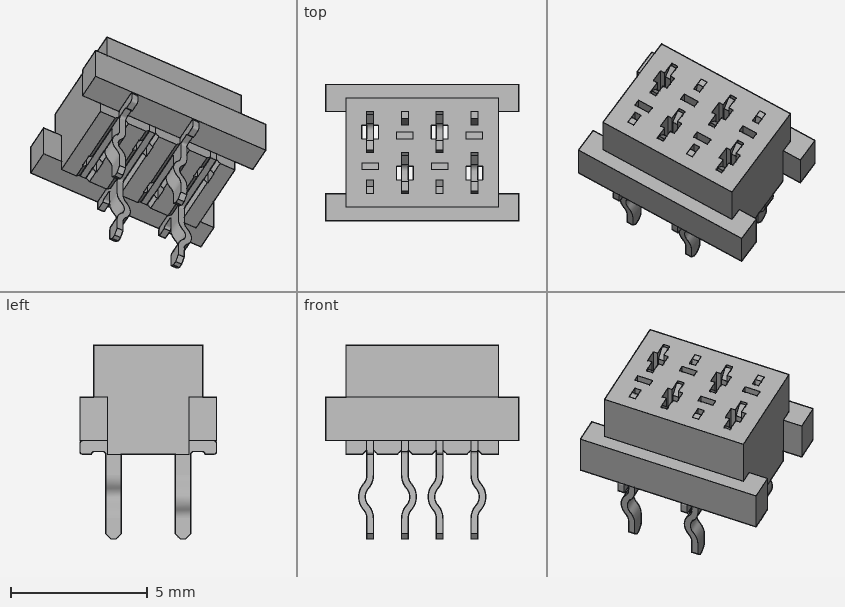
import cadquery as cq
import math

top_z = 7.1
flange_top_z = 5.2
flange_bottom_z = 3.6
body_bottom_z = 3.1

body_length = 5.595
body_depth = 4.0
lower_body_depth = 2.995
flange_length = 7.08
flange_outer_depth = 5.0

contact_count = 4
pitch = 1.27
contact_thickness = 0.25

fork_slot_length = 1.5
fork_center_y = fork_slot_length / 2
fork_tip_gap = 0.1
lead_in_width = 0.335
lead_in_angle = 47.3
throat_radius = 0.25
throat_depth = 2.485

post_outer_y = 1.5
post_width = 0.5
post_tip_width = post_width / 2
post_wedge_height = 1.02

arm_bottom_z = 3.2
corner_radius = 0.1
foot_width = 0.425

leg_width = 0.575
leg_center_y = pitch
tip_chamfer = 0.2
bend_center_z = 1.55
bend_radius = 0.595
bend_offset = 0.3

window_length = 0.595
window_depth = 0.5
pocket_width = 0.25
pocket_depth = 1.0
pocket_y_at_plus_y_contact = -0.5
pocket_y_at_minus_y_contact = 0.625
groove_chamfer = 0.15


def block(length, depth, bottom_z, upper_z, x=0.0, y=0.0):
    """Box centred on (x, y) between two heights."""
    return (
        cq.Workplane("XY")
        .workplane(offset=bottom_z)
        .center(x, y)
        .rect(length, depth)
        .extrude(upper_z - bottom_z)
    )


def make_fork_and_post():
    """Plate above the arm: a fork on the +Y side and a post on the -Y side."""
    throat_half = fork_slot_length / 2 - fork_tip_gap - lead_in_width
    throat_top_z = top_z - lead_in_width * math.tan(math.radians(lead_in_angle))
    throat_bottom_z = top_z - throat_depth
    floor_half = throat_half - throat_radius
    arc_z = throat_bottom_z + throat_radius
    fork = (
        cq.Workplane("YZ")
        .moveTo(0, flange_bottom_z)
        .lineTo(fork_tip_gap, top_z)
        .lineTo(fork_center_y - throat_half, throat_top_z)
        .lineTo(fork_center_y - throat_half, arc_z)
        .radiusArc((fork_center_y - floor_half, throat_bottom_z), -throat_radius)
        .lineTo(fork_center_y + floor_half, throat_bottom_z)
        .radiusArc((fork_center_y + throat_half, arc_z), -throat_radius)
        .lineTo(fork_center_y + throat_half, throat_top_z)
        .lineTo(fork_slot_length - fork_tip_gap, top_z)
        .lineTo(fork_slot_length, flange_bottom_z)
        .close()
        .extrude(contact_thickness / 2, both=True)
    )
    post = (
        cq.Workplane("YZ")
        .polyline([
            (-post_outer_y, flange_bottom_z),
            (-post_outer_y, top_z),
            (-post_outer_y + post_tip_width, top_z),
            (-post_outer_y + post_width, top_z - post_wedge_height),
            (-post_outer_y + post_width, flange_bottom_z),
        ])
        .close()
        .extrude(contact_thickness / 2, both=True)
    )
    return fork, post


def make_arm():
    """Bar under the housing, from a rounded foot at -Y past the leg to the end of the fork."""
    foot_outer_y = -flange_outer_depth / 2
    foot_inner_y = foot_outer_y + foot_width
    leg_outer_y = -leg_center_y - leg_width / 2
    leg_inner_y = leg_outer_y + leg_width
    fillet_bottom_z = arm_bottom_z - corner_radius
    return (
        cq.Workplane("YZ")
        .moveTo(leg_outer_y, fillet_bottom_z)
        .radiusArc((leg_outer_y - corner_radius, arm_bottom_z), -corner_radius)
        .lineTo(foot_inner_y + corner_radius, arm_bottom_z)
        .radiusArc((foot_inner_y, body_bottom_z), -corner_radius)
        .lineTo(foot_outer_y + corner_radius, body_bottom_z)
        .radiusArc((foot_outer_y, body_bottom_z + corner_radius), corner_radius)
        .lineTo(foot_outer_y, flange_bottom_z - corner_radius)
        .radiusArc((foot_outer_y + corner_radius, flange_bottom_z), corner_radius)
        .lineTo(fork_slot_length, flange_bottom_z)
        .lineTo(fork_slot_length, arm_bottom_z)
        .lineTo(leg_inner_y + corner_radius, arm_bottom_z)
        .radiusArc((leg_inner_y, fillet_bottom_z), -corner_radius)
        .close()
        .extrude(contact_thickness / 2, both=True)
    )


def make_leg():
    """Strip bent towards -X by equal tangent arcs, cut to a chamfered tip."""
    bend_angle = math.acos(1 - bend_offset / (2 * bend_radius))
    half_height = 2 * bend_radius * math.sin(bend_angle)
    center_line = (
        cq.Workplane("XZ")
        .moveTo(0, arm_bottom_z)
        .lineTo(0, bend_center_z + half_height)
        .radiusArc((-bend_offset / 2, bend_center_z + half_height / 2), bend_radius)
        .radiusArc((-bend_offset / 2, bend_center_z - half_height / 2), -bend_radius)
        .radiusArc((0, bend_center_z - half_height), bend_radius)
        .lineTo(0, 0)
    )
    strip = (
        cq.Workplane("XY")
        .workplane(offset=arm_bottom_z)
        .rect(contact_thickness, leg_width)
        .sweep(center_line)
        .translate((0, -leg_center_y, 0))
    )
    silhouette = (
        block(pitch, leg_width, 0, arm_bottom_z, y=-leg_center_y)
        .faces("<Z")
        .edges("|X")
        .chamfer(tip_chamfer)
    )
    return strip.intersect(silhouette)


def make_contact():
    """Contact at x = 0 with its fork towards +Y and its leg on the -Y side."""
    fork, post = make_fork_and_post()
    return make_arm().union(fork).union(post).union(make_leg())


def make_contact_opening():
    """Space cut from the housing for one contact whose fork is towards +Y."""
    fork_slot = block(contact_thickness, fork_slot_length, flange_bottom_z, top_z, y=fork_center_y)
    post_slot = block(
        contact_thickness, post_width, flange_bottom_z, top_z, y=-post_outer_y + post_width / 2
    )
    window = block(window_length, window_depth, body_bottom_z, top_z, y=fork_center_y)
    half_width = contact_thickness / 2
    groove = (
        cq.Workplane("XZ")
        .polyline([
            (-half_width, flange_bottom_z),
            (half_width, flange_bottom_z),
            (half_width, body_bottom_z + groove_chamfer),
            (half_width + groove_chamfer, body_bottom_z),
            (-half_width - groove_chamfer, body_bottom_z),
            (-half_width, body_bottom_z + groove_chamfer),
        ])
        .close()
        .extrude(lower_body_depth / 2, both=True)
    )
    return groove.union(fork_slot).union(post_slot).union(window)


def contact_x(index):
    """Position of a contact in the centred row."""
    return (index - (contact_count - 1) / 2) * pitch


def place(shape, index):
    """Move a +Y-facing shape to its place in the row; every second one faces -Y."""
    turn = 180 * (index % 2)
    return shape.rotate((0, 0, 0), (0, 0, 1), turn).translate((contact_x(index), 0, 0))


def make_housing():
    """Block with a flange bar along each long side and openings for the contacts."""
    flange = block(flange_length, flange_outer_depth, flange_bottom_z, flange_top_z)
    end_gaps = block(flange_length, lower_body_depth, flange_bottom_z, flange_top_z)
    core = block(body_length, lower_body_depth, body_bottom_z, top_z)
    upper_body = block(body_length, body_depth, flange_top_z, top_z)
    housing = flange.cut(end_gaps).union(core).union(upper_body)

    contact_opening = make_contact_opening()
    for index in range(contact_count):
        housing = housing.cut(place(contact_opening, index))
        pocket_y = pocket_y_at_minus_y_contact if index % 2 else pocket_y_at_plus_y_contact
        pocket_floor_z = top_z - pocket_depth
        housing = housing.cut(
            block(window_length, pocket_width, pocket_floor_z, top_z, contact_x(index), pocket_y)
        )
    return housing


housing = make_housing()
contact = make_contact()
contacts = [place(contact, index).val() for index in range(contact_count)]

result = cq.Compound.makeCompound([housing.val(), *contacts])